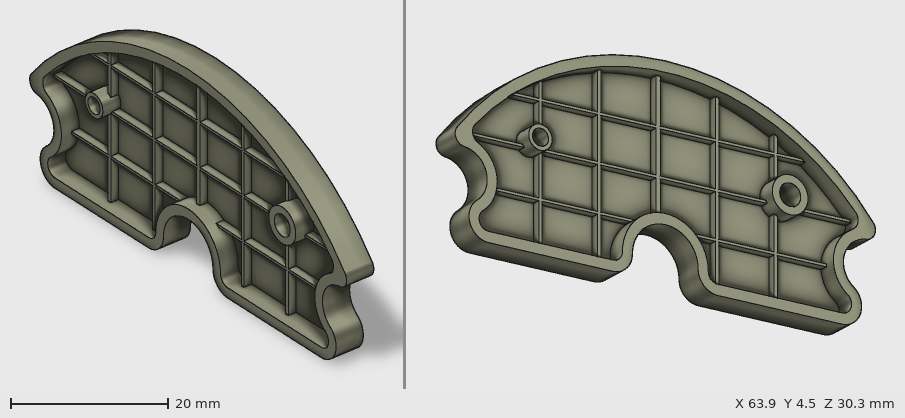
import cadquery as cq
import math

length = 63.9
thickness = 4.5
height = 30.3

wall = 1.55
floor_thickness = wall
pocket_depth = thickness - floor_thickness

crown_radius = 40.0
tip_radius = wall
notch_radius = 3.85
corner_radius = 3.0
arch_radius = 5.0
lobe_x = 26.8

rib_height = 1.3
column_spacing = 8.95
column_width = 0.5
center_column_width = 0.65
row_spacing = 6.8
row_width = 0.4
middle_row_z = 15.0

boss_x = 19.0
boss_z = 16.0
bosses = [(-boss_x, 3.6, 2.4), (boss_x, 5.4, 3.2)]


def circle_crossing(first, first_radius, second, second_radius):
    """Crossing of two circles that lies to the right of the way from first to second."""
    dx = second[0] - first[0]
    dz = second[1] - first[1]
    gap = math.hypot(dx, dz)
    along = (gap**2 + first_radius**2 - second_radius**2) / (2 * gap)
    aside = math.sqrt(first_radius**2 - along**2)
    return (
        first[0] + (along * dx + aside * dz) / gap,
        first[1] + (along * dz - aside * dx) / gap,
    )


def point_toward(center, target, distance):
    """Point at a distance from center on the way to target."""
    gap = math.dist(center, target)
    return tuple(c + (t - c) * distance / gap for c, t in zip(center, target))


def arc(path, center, radius, start, end):
    """Extend the path by the arc of less than half a turn from start to end."""
    chord_middle = ((start[0] + end[0]) / 2, (start[1] + end[1]) / 2)
    return path.threePointArc(point_toward(center, chord_middle, radius), end)


crown_center = (0.0, height - crown_radius)
tip_x = tip_radius - length / 2
tip_rise = math.sqrt((crown_radius - tip_radius) ** 2 - tip_x**2)
tip_center = (tip_x, crown_center[1] + tip_rise)
lobe_center = (-lobe_x, corner_radius)
notch_center = circle_crossing(
    tip_center, tip_radius + notch_radius, lobe_center, corner_radius + notch_radius
)
foot_center = (-arch_radius - corner_radius, corner_radius)
arch_center = (0.0, corner_radius)
pocket_tip_center = circle_crossing(
    crown_center, crown_radius - wall - tip_radius, notch_center, notch_radius + wall + tip_radius
)


def outline_prism(inset, tip, depth):
    """Outline moved inward by inset, its tip rounded about the given center, extruded from Y = 0."""
    crown = crown_radius - inset
    notch = notch_radius + inset
    corner = corner_radius - inset
    arch = arch_radius + inset

    top = (0.0, crown_center[1] + crown)
    crown_end = point_toward(crown_center, tip, crown)
    tip_end = point_toward(notch_center, tip, notch)
    notch_end = point_toward(notch_center, lobe_center, notch)
    lobe_end = (lobe_center[0], inset)
    foot_start = (foot_center[0], inset)
    foot_end = (-arch, arch_center[1])
    arch_top = (0.0, arch_center[1] + arch)

    path = cq.Workplane("XZ").moveTo(*top)
    path = arc(path, crown_center, crown, top, crown_end)
    path = arc(path, tip, tip_radius, crown_end, tip_end)
    path = arc(path, notch_center, notch, tip_end, notch_end)
    path = arc(path, lobe_center, corner, notch_end, lobe_end)
    path = path.lineTo(*foot_start)
    path = arc(path, foot_center, corner, foot_start, foot_end)
    path = arc(path, arch_center, arch, foot_end, arch_top)
    half = path.close().extrude(-depth)
    return half.union(half.mirror("YZ"))


def rib_grid():
    """Crossing ribs, longer than the pocket, standing on its floor."""

    def bar(x, z, size_x, size_z):
        return (
            cq.Workplane("XZ", origin=(0, pocket_depth, 0))
            .center(x, z)
            .rect(size_x, size_z)
            .extrude(rib_height)
        )

    grid = bar(0, height / 2, center_column_width, height)
    for step in (-2, -1, 1, 2):
        grid = grid.union(bar(step * column_spacing, height / 2, column_width, height))
    for step in (-1, 0, 1):
        grid = grid.union(bar(0, middle_row_z + step * row_spacing, length, row_width))
    return grid


def boss_cylinder(x, diameter):
    """Cylinder through the whole thickness at a boss position."""
    return cq.Workplane("XZ").center(x, boss_z).circle(diameter / 2).extrude(-thickness)


pocket = outline_prism(wall, pocket_tip_center, pocket_depth)
result = outline_prism(0, tip_center, thickness).cut(pocket)
result = result.union(rib_grid().intersect(pocket))

for x, boss_diameter, hole_diameter in bosses:
    result = result.union(boss_cylinder(x, boss_diameter))
    result = result.cut(boss_cylinder(x, hole_diameter))